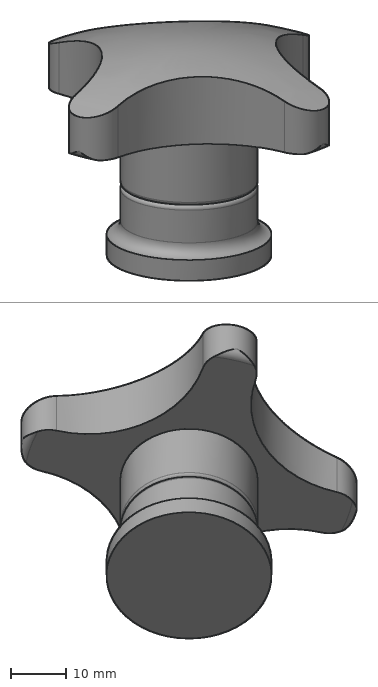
import cadquery as cq
import math

cos_45 = math.sqrt(0.5)

total_height = 41.0
underside_z = 26.5

flange_radius = 15.0
flange_height = 4.0
stem_radius = 12.5
groove_edge_radius = 0.75
groove_center_z = 13.5

head_radius = 31.5
arm_count = 4
arm_half_width = 5.0
dome_radius = 80.0
rim_fillet = 1.5
rim_margin = 2.0
seam_angle = 180 / arm_count


def make_stem():
    """Revolved stem: flange, concave fillet up to the neck, and a groove between two rounded edges."""
    fillet_radius = flange_radius - stem_radius
    fillet_top_z = flange_height + fillet_radius
    arc_offset = fillet_radius * cos_45
    fillet_mid = (flange_radius - arc_offset, fillet_top_z - arc_offset)
    groove_low_z = groove_center_z - groove_edge_radius
    groove_high_z = groove_center_z + groove_edge_radius
    groove_bottom = (stem_radius - groove_edge_radius, groove_center_z)
    edge_offset = groove_edge_radius * cos_45
    edge_mid_x = stem_radius - groove_edge_radius + edge_offset
    profile = (
        cq.Workplane("XZ")
        .lineTo(flange_radius, 0)
        .lineTo(flange_radius, flange_height)
        .threePointArc(fillet_mid, (stem_radius, fillet_top_z))
        .lineTo(stem_radius, groove_low_z)
        .threePointArc((edge_mid_x, groove_low_z + edge_offset), groove_bottom)
        .threePointArc((edge_mid_x, groove_high_z - edge_offset), (stem_radius, groove_high_z))
        .lineTo(stem_radius, underside_z)
        .lineTo(0, underside_z)
        .close()
    )
    return profile.revolve(360, (0, 0), (0, 1))


def make_dome():
    """Solid of revolution under the spherical top, wider than the arms."""
    dome_center_z = total_height - dome_radius
    edge_radius = head_radius + rim_margin

    def surface_point(radius):
        return (radius, dome_center_z + math.sqrt(dome_radius**2 - radius**2))

    profile = (
        cq.Workplane("XZ")
        .moveTo(0, underside_z)
        .lineTo(edge_radius, underside_z)
        .lineTo(*surface_point(edge_radius))
        .threePointArc(surface_point(edge_radius / 2), surface_point(0))
        .close()
    )
    return profile.revolve(360, (0, 0), (0, 1))


def make_rim_cutter():
    """Revolved ring that rounds the lower edge of each arm tip."""
    arc_offset = rim_fillet * (1 - cos_45)
    rim_mid = (head_radius - arc_offset, underside_z + arc_offset)
    profile = (
        cq.Workplane("XZ")
        .moveTo(head_radius - rim_fillet, underside_z)
        .threePointArc(rim_mid, (head_radius, underside_z + rim_fillet))
        .lineTo(head_radius + rim_margin, underside_z + rim_fillet)
        .lineTo(head_radius + rim_margin, underside_z)
        .close()
    )
    ring = profile.revolve(360, (0, 0), (0, 1))
    return ring.rotate((0, 0, 0), (0, 0, 1), seam_angle)


def make_star_prism():
    """Four round-ended arms joined by concave arcs tangent to the arm sides."""
    tip_center = head_radius - arm_half_width
    hollow_radius = tip_center - arm_half_width
    hollow_mid = tip_center - hollow_radius * cos_45

    def turned(x, y, quarter_turns):
        for _ in range(quarter_turns):
            x, y = -y, x
        return (x, y)

    outline = cq.Workplane("XY", origin=(0, 0, underside_z)).moveTo(tip_center, -arm_half_width)
    for quarter in range(arm_count):
        tip = turned(head_radius, 0, quarter)
        arm_end = turned(tip_center, arm_half_width, quarter)
        hollow = turned(hollow_mid, hollow_mid, quarter)
        next_arm = turned(arm_half_width, tip_center, quarter)
        outline = outline.threePointArc(tip, arm_end).threePointArc(hollow, next_arm)
    return outline.close().extrude(total_height - underside_z)


head = make_star_prism().intersect(make_dome()).cut(make_rim_cutter())
result = make_stem().union(head)